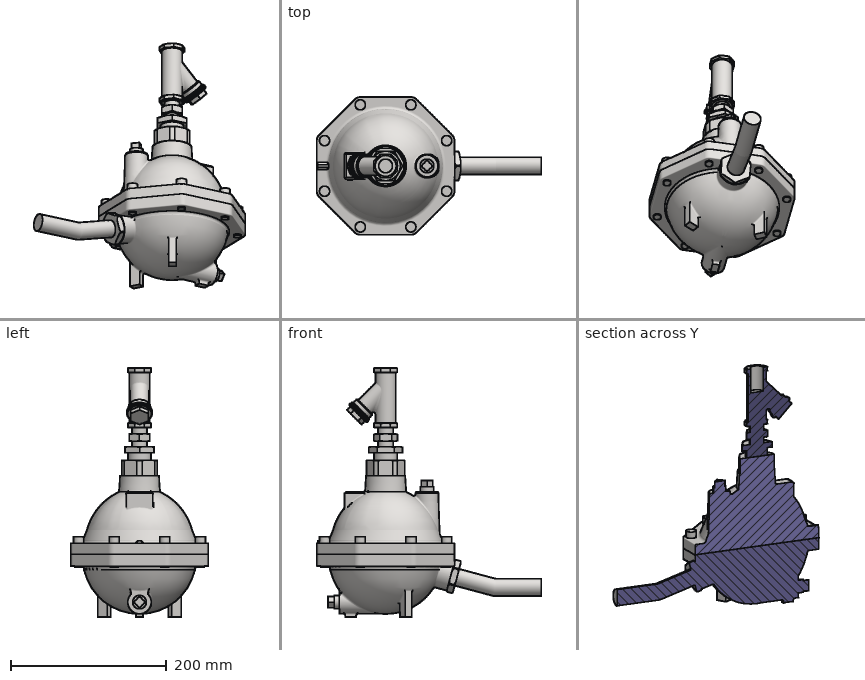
import cadquery as cq
import math

TOTAL_HEIGHT = 320
SOCKET_TOP = 201.7
NECK_TOP = 181.5
NECK_BASE = 160.7
FLANGE_TOP = 95.0
PARTING = 80.7
FLANGE_BOTTOM = 65.3

OCTAGON_TURN = 180 / 8
FLANGE_WIDTH = 177.0
FLANGE_CORNER_RADIUS = 10.0
FLANGE_EDGE_RADIUS = 1.3
BOLT_COUNT = 8
BOLT_CIRCLE_RADIUS = 84.8
BOLT_HEAD_DIAMETER = 13.0
BOLT_HEAD_TOP = 103.5
BOLT_END_DIAMETER = 10.0
BOLT_END_BOTTOM = 63.7
RIB_BASE_WIDTH = 9.5
RIB_TOP_WIDTH = 3.2
RIB_HEIGHT = 3.2

DOME_BASE_DIAMETER = 145.5
DOME_FILLET_HEIGHT = 4.2
DOME_FOOT_RADIUS = 77.0
DOME_LOWER_POINT = (67.5, 112)
DOME_MIDDLE_POINT = (52.2, 141.2)
NECK_BASE_RADIUS = 26.5
NECK_TOP_RADIUS = 25.3
SOCKET_FLATS = 45.8
SOCKET_DIAMETER = 49.3

PAD_FACE_X = -52.8
PAD_WIDTH = 34.0
PAD_TOP = 161.0
PAD_BOTTOM = 128
PAD_CORNER_RADIUS = 2.5
PAD_TOP_CHAMFER = 2.2

BLEND_RADIUS = 2.0
DRAIN_BLEND_RADIUS = 2.5
FOOT_BLEND_RADIUS = 2.5
BRANCH_BLEND_RADIUS = 2.5
SURFACE_TOLERANCE = 0.003

ROOT_ARC_RUN = 0.25
ROOT_ARC_RISE = 0.35

PLUG_BOSS_DIAMETER = 30.0
PLUG_BOSS_FOOT_DIAMETER = 34.0
PLUG_COLLAR_DIAMETER = 17.5
PLUG_COLLAR_LENGTH = 6.7
PLUG_SQUARE_SIDE = 10.5
PLUG_SQUARE_LENGTH = 8.0
TOP_PLUG_X = 53.0
TOP_BOSS_TOP = 160.7
TOP_BOSS_DRAFT_START = 148.5
TOP_BOSS_CHAMFER = 2.0
DRAIN_BOSS_FACE_X = -59.2
DRAIN_BOSS_Z = 19.2
DRAIN_BOSS_WEB_WIDTH = 21.8

BOWL_RADIUS = 73.3
BOWL_CENTRE_Z = 77.0
BOWL_RIM_Z = 60.8
BOWL_FOOT_RADIUS = 73.5
LEG_WIDTH = 9.5
LEG_LENGTH = 14.0
LEG_OUTER_RADIUS = 59.2
LEG_ANGLES = (-60, 60)
FOOT_OUTER_RADIUS = 52.0

OVERALL_LENGTH = 288.5
PIPE_DIAMETER = 22.5
PIPE_Z = 38.0
BEND_X = 140.2
PIPE_TILT = 15
NUT_INNER_END = 58.5
NUT_THICKNESS = 8.3
NUT_FLATS = 37.8
NUT_DIAMETER = 43.0
NUT_ROUNDING = 2.2
OUTLET_BOSS_DIAMETER = 40.0
OUTLET_BOSS_END = 89.5

STRAINER_DIAMETER = 26.5
STRAINER_END_FLATS = 30.0
STRAINER_FACE_DIAMETER = 27.0
STRAINER_END_HEIGHT = 6.5
STRAINER_BOTTOM = 243.0
INLET_BORE_DIAMETER = 17.5
INLET_BORE_DEPTH = 32
NIPPLE_DIAMETER = 20.0
NIPPLE_HEX_FLATS = 26.5
NIPPLE_FACE_DIAMETER = 26.5
NIPPLE_HEX_BOTTOM = 225.7
NIPPLE_HEX_HEIGHT = 9.5
BUSH_HEX_FLATS = 37.8
BUSH_FACE_DIAMETER = 37.8
BUSH_HEX_BOTTOM = 211.0
BUSH_HEX_HEIGHT = 8.0
BUSH_DIAMETER = 30.0
END_CHAMFER = 1.0
BRANCH_ANGLE = 45
BRANCH_AXIS_Z = 296.7
BRANCH_LENGTH = 57.0
BRANCH_DIAMETER = 24.0
BRANCH_RING_DIAMETER = 28.5
BRANCH_RING_LENGTH = 6.7
CAP_DISC_DIAMETER = 32.5
CAP_DISC_LENGTH = 3.2
SEAT_DISC_DIAMETER = 31.5
SEAT_DISC_LENGTH = 3.0
CAP_HEX_FLATS = 23.0
CAP_HEX_LENGTH = 6.5


def cylinder(diameter, bottom, top):
    return cq.Workplane("XY").workplane(offset=bottom).circle(diameter / 2).extrude(top - bottom)


def polygon_prism(sides, flats, bottom, height, turn=0):
    """Regular prism about Z; with no turn, one corner points along +X."""
    corner_diameter = flats / math.cos(math.pi / sides)
    prism = cq.Workplane("XY").polygon(sides, corner_diameter).extrude(height)
    return prism.rotate((0, 0, 0), (0, 0, 1), turn).translate((0, 0, bottom))


def chamfered_prism(sides, flats, bottom, height, face_diameter, turn=0, chamfered_faces="<Z or >Z"):
    """Regular prism whose corners are turned off by cones that leave round faces at its ends."""
    corner_diameter = flats / math.cos(math.pi / sides)
    turned = cylinder(corner_diameter, bottom, bottom + height)
    turned = turned.faces(chamfered_faces).chamfer(END_CHAMFER, (corner_diameter - face_diameter) / 2)
    return polygon_prism(sides, flats, bottom, height, turn).intersect(turned)


def blended_union(first, second, radius):
    """Union of two shapes with a fillet along the edges where their surfaces meet."""
    joined = first.union(second)
    surfaces = [shape.val().Shells()[0] for shape in (first, second)]

    def on_both_surfaces(edge):
        middle = cq.Vertex.makeVertex(*edge.positionAt(0.5).toTuple())
        return all(middle.distance(surface) < SURFACE_TOLERANCE for surface in surfaces)

    meeting_edges = [edge for edge in joined.edges().vals() if on_both_surfaces(edge)]
    return joined.newObject(meeting_edges).fillet(radius)


def flange_half(bottom, top, outer_face):
    """Half of the octagonal flange, with its outer edge rounded."""
    half = polygon_prism(8, FLANGE_WIDTH, bottom, top - bottom, turn=OCTAGON_TURN)
    half = half.edges("|Z").fillet(FLANGE_CORNER_RADIUS)
    return half.faces(outer_face).edges().fillet(FLANGE_EDGE_RADIUS)


def bolt_parts(diameter, bottom, top):
    first_angle = 180 / BOLT_COUNT
    places = cq.Workplane("XY").workplane(offset=bottom)
    places = places.polarArray(BOLT_CIRCLE_RADIUS, first_angle, 360, BOLT_COUNT)
    return places.circle(diameter / 2).extrude(top - bottom)


def square_plug():
    """Plug seated on Z = 0, with a round collar below a square head set cornerwise."""
    collar = cylinder(PLUG_COLLAR_DIAMETER, 0, PLUG_COLLAR_LENGTH)
    head = polygon_prism(4, PLUG_SQUARE_SIDE, PLUG_COLLAR_LENGTH, PLUG_SQUARE_LENGTH)
    return collar.union(head)


def dome():
    """Dome and tapered neck, turned about the valve axis."""
    base_radius = DOME_BASE_DIAMETER / 2
    fillet_top = FLANGE_TOP + DOME_FILLET_HEIGHT
    fillet_middle = (
        base_radius + ROOT_ARC_RUN * (DOME_FOOT_RADIUS - base_radius),
        FLANGE_TOP + ROOT_ARC_RISE * DOME_FILLET_HEIGHT,
    )
    profile = (
        cq.Workplane("XZ")
        .moveTo(0, PARTING)
        .lineTo(DOME_FOOT_RADIUS, PARTING)
        .lineTo(DOME_FOOT_RADIUS, FLANGE_TOP)
        .threePointArc(fillet_middle, (base_radius, fillet_top))
        .lineTo(*DOME_LOWER_POINT)
        .threePointArc(DOME_MIDDLE_POINT, (NECK_BASE_RADIUS, NECK_BASE))
        .lineTo(NECK_TOP_RADIUS, NECK_TOP)
        .lineTo(0, NECK_TOP)
        .close()
    )
    return profile.revolve(360, (0, 0, 0), (0, 1, 0))


def socket():
    hexagon = polygon_prism(6, SOCKET_FLATS, NECK_TOP, SOCKET_TOP - NECK_TOP)
    turned = cylinder(SOCKET_DIAMETER, NECK_TOP, SOCKET_TOP).faces(">Z").chamfer(END_CHAMFER)
    return hexagon.intersect(turned)


def name_plate_pad():
    length = -PAD_FACE_X - NECK_TOP_RADIUS / 2
    pad = cq.Workplane("XY").box(length, PAD_WIDTH, PAD_TOP - PAD_BOTTOM, centered=(False, True, False))
    pad = pad.edges("|Z and <X").fillet(PAD_CORNER_RADIUS)
    pad = pad.faces(">Z").chamfer(PAD_TOP_CHAMFER)
    return pad.translate((PAD_FACE_X, 0, PAD_BOTTOM))


def top_plug_boss():
    """Round boss that widens with draft below its straight top."""
    radius = PLUG_BOSS_DIAMETER / 2
    profile = (
        cq.Workplane("XZ")
        .moveTo(0, FLANGE_TOP)
        .lineTo(PLUG_BOSS_FOOT_DIAMETER / 2, FLANGE_TOP)
        .lineTo(radius, TOP_BOSS_DRAFT_START)
        .lineTo(radius, TOP_BOSS_TOP - TOP_BOSS_CHAMFER)
        .lineTo(radius - TOP_BOSS_CHAMFER / 2, TOP_BOSS_TOP)
        .lineTo(0, TOP_BOSS_TOP)
        .close()
    )
    return profile.revolve(360, (0, 0, 0), (0, 1, 0)).translate((TOP_PLUG_X, 0, 0))


def locating_rib():
    """Tapered rib across the flange top on the -X side."""
    profile = (
        cq.Workplane("YZ")
        .workplane(offset=-FLANGE_WIDTH / 2 + FLANGE_EDGE_RADIUS)
        .moveTo(-RIB_BASE_WIDTH / 2, FLANGE_TOP)
        .lineTo(RIB_BASE_WIDTH / 2, FLANGE_TOP)
        .lineTo(RIB_TOP_WIDTH / 2, FLANGE_TOP + RIB_HEIGHT)
        .lineTo(-RIB_TOP_WIDTH / 2, FLANGE_TOP + RIB_HEIGHT)
        .close()
    )
    return profile.extrude(FLANGE_WIDTH / 2 - DOME_LOWER_POINT[0])


def make_cover():
    """Upper casting with its plug and bolt heads."""
    cover = blended_union(dome(), name_plate_pad(), BLEND_RADIUS)
    cover = blended_union(cover, top_plug_boss(), BLEND_RADIUS)
    cover = cover.union(flange_half(PARTING, FLANGE_TOP, ">Z")).union(socket()).union(locating_rib())
    cover = cover.union(bolt_parts(BOLT_HEAD_DIAMETER, FLANGE_TOP, BOLT_HEAD_TOP))
    return cover.union(square_plug().translate((TOP_PLUG_X, 0, TOP_BOSS_TOP)))


def bowl():
    """Spherical bowl with a filleted root below the flange, turned about the valve axis."""
    rim_radius = math.sqrt(BOWL_RADIUS**2 - (BOWL_CENTRE_Z - BOWL_RIM_Z) ** 2)
    diagonal = BOWL_RADIUS * math.sqrt(0.5)
    fillet_middle = (
        rim_radius + ROOT_ARC_RUN * (BOWL_FOOT_RADIUS - rim_radius),
        FLANGE_BOTTOM - ROOT_ARC_RISE * (FLANGE_BOTTOM - BOWL_RIM_Z),
    )
    profile = (
        cq.Workplane("XZ")
        .moveTo(0, PARTING)
        .lineTo(BOWL_FOOT_RADIUS, PARTING)
        .lineTo(BOWL_FOOT_RADIUS, FLANGE_BOTTOM)
        .threePointArc(fillet_middle, (rim_radius, BOWL_RIM_Z))
        .threePointArc((diagonal, BOWL_CENTRE_Z - diagonal), (0, BOWL_CENTRE_Z - BOWL_RADIUS))
        .close()
    )
    return profile.revolve(360, (0, 0, 0), (0, 1, 0))


def leg(outer_radius, angle, height):
    """Upright rectangular leg whose length runs radially."""
    block = cq.Workplane("XY").box(LEG_LENGTH, LEG_WIDTH, height, centered=(False, True, False))
    return block.translate((outer_radius - LEG_LENGTH, 0, 0)).rotate((0, 0, 0), (0, 0, 1), angle)


def drain_boss():
    """Horizontal round boss, joined to the bowl above by a flat-sided web."""
    face = cq.Workplane("YZ").workplane(offset=DRAIN_BOSS_FACE_X)
    barrel = face.center(0, DRAIN_BOSS_Z).circle(PLUG_BOSS_DIAMETER / 2).extrude(-DRAIN_BOSS_FACE_X)
    web_height = BOWL_CENTRE_Z / 2 - DRAIN_BOSS_Z
    web = face.center(0, DRAIN_BOSS_Z + web_height / 2).rect(DRAIN_BOSS_WEB_WIDTH, web_height)
    return barrel.union(web.extrude(-DRAIN_BOSS_FACE_X / 2))


def drain_plug():
    plug = square_plug().rotate((0, 0, 0), (0, 1, 0), -90)
    return plug.translate((DRAIN_BOSS_FACE_X, 0, DRAIN_BOSS_Z))


def along_outlet(shape):
    """Turn a shape built up along Z so that it runs from the pipe bend up the inclined outlet axis."""
    return shape.rotate((0, 0, 0), (0, 1, 0), PIPE_TILT - 90).translate((BEND_X, 0, PIPE_Z))


def outlet_boss():
    return along_outlet(cylinder(OUTLET_BOSS_DIAMETER, NUT_INNER_END, OUTLET_BOSS_END))


def outlet_nut():
    """Union nut whose corners are turned down and rounded."""
    nut_start = NUT_INNER_END - NUT_THICKNESS
    turned = cylinder(NUT_DIAMETER, nut_start, NUT_INNER_END).edges().fillet(NUT_ROUNDING)
    return along_outlet(polygon_prism(6, NUT_FLATS, nut_start, NUT_THICKNESS).intersect(turned))


def outlet_pipe():
    """Pipe that follows the inclined outlet axis and then runs level toward +X."""
    tilt = math.radians(PIPE_TILT)
    pipe_start = (
        BEND_X - NUT_INNER_END * math.cos(tilt),
        PIPE_Z + NUT_INNER_END * math.sin(tilt),
    )
    pipe_end_x = OVERALL_LENGTH - FLANGE_WIDTH / 2
    path = cq.Workplane("XZ").moveTo(*pipe_start).lineTo(BEND_X, PIPE_Z).lineTo(pipe_end_x, PIPE_Z)
    start_plane = cq.Plane(
        origin=(pipe_start[0], 0, pipe_start[1]),
        xDir=(0, 1, 0),
        normal=(math.cos(tilt), 0, -math.sin(tilt)),
    )
    return cq.Workplane(start_plane).circle(PIPE_DIAMETER / 2).sweep(path, transition="right")


def make_base():
    """Lower casting with its legs, drain plug, outlet pipe and bolt ends."""
    foot = leg(FOOT_OUTER_RADIUS, 180, DRAIN_BOSS_Z)
    footed_boss = blended_union(drain_boss(), foot, FOOT_BLEND_RADIUS)
    base = blended_union(bowl(), footed_boss, DRAIN_BLEND_RADIUS)
    base = blended_union(base, outlet_boss(), BLEND_RADIUS)
    for angle in LEG_ANGLES:
        base = blended_union(base, leg(LEG_OUTER_RADIUS, angle, BOWL_CENTRE_Z / 2), BLEND_RADIUS)
    base = base.union(flange_half(FLANGE_BOTTOM, PARTING, "<Z"))
    base = base.union(drain_plug()).union(outlet_nut()).union(outlet_pipe())
    return base.union(bolt_parts(BOLT_END_DIAMETER, BOLT_END_BOTTOM, FLANGE_BOTTOM))


def slope_branch(shape):
    """Turn a shape built up along Z so that it runs down the strainer branch toward -X."""
    sloped = shape.rotate((0, 0, 0), (0, 1, 0), -90 - BRANCH_ANGLE)
    return sloped.translate((0, 0, BRANCH_AXIS_Z))


def strainer_branch():
    return slope_branch(cylinder(BRANCH_DIAMETER, 0, BRANCH_LENGTH - CAP_HEX_LENGTH))


def branch_cap():
    """Ring, two discs and hexagonal head closing the branch."""
    hex_start = BRANCH_LENGTH - CAP_HEX_LENGTH
    disc_start = hex_start - CAP_DISC_LENGTH
    seat_start = disc_start - SEAT_DISC_LENGTH
    ring_start = seat_start - BRANCH_RING_LENGTH
    ring = cylinder(BRANCH_RING_DIAMETER, ring_start, seat_start).faces("<Z").chamfer(END_CHAMFER)
    seat = cylinder(SEAT_DISC_DIAMETER, seat_start, disc_start).faces("<Z").chamfer(END_CHAMFER)
    disc = cylinder(CAP_DISC_DIAMETER, disc_start, hex_start).faces(">Z").chamfer(END_CHAMFER)
    head = polygon_prism(6, CAP_HEX_FLATS, hex_start, CAP_HEX_LENGTH)
    return slope_branch(ring.union(seat).union(disc).union(head))


def strainer_end(bottom):
    """Octagonal collar at one end of the strainer tube."""
    size = (STRAINER_END_FLATS, bottom, STRAINER_END_HEIGHT)
    return chamfered_prism(8, *size, STRAINER_FACE_DIAMETER, turn=OCTAGON_TURN)


def nipple_hexagon():
    size = (NIPPLE_HEX_FLATS, NIPPLE_HEX_BOTTOM, NIPPLE_HEX_HEIGHT)
    return chamfered_prism(6, *size, NIPPLE_FACE_DIAMETER)


def bush_head():
    """Hexagonal head of the bush, chamfered on top only."""
    size = (BUSH_HEX_FLATS, BUSH_HEX_BOTTOM, BUSH_HEX_HEIGHT)
    return chamfered_prism(6, *size, BUSH_FACE_DIAMETER, chamfered_faces=">Z")


def make_inlet():
    """Strainer, nipple and bush, standing on top of the cover's socket."""
    strainer_tube = cylinder(STRAINER_DIAMETER, STRAINER_BOTTOM, TOTAL_HEIGHT)
    inlet = blended_union(strainer_tube, strainer_branch(), BRANCH_BLEND_RADIUS)
    for end_bottom in (STRAINER_BOTTOM, TOTAL_HEIGHT - STRAINER_END_HEIGHT):
        inlet = inlet.union(strainer_end(end_bottom))
    inlet = inlet.union(branch_cap())
    inlet = inlet.union(cylinder(NIPPLE_DIAMETER, BUSH_HEX_BOTTOM, STRAINER_BOTTOM))
    inlet = inlet.union(nipple_hexagon())
    inlet = inlet.union(bush_head())
    inlet = inlet.union(cylinder(BUSH_DIAMETER, SOCKET_TOP, BUSH_HEX_BOTTOM))
    return inlet.cut(cylinder(INLET_BORE_DIAMETER, TOTAL_HEIGHT - INLET_BORE_DEPTH, TOTAL_HEIGHT))


cover = make_cover()
base = make_base()
inlet = make_inlet()
result = cq.Compound.makeCompound([cover.val(), base.val(), inlet.val()])